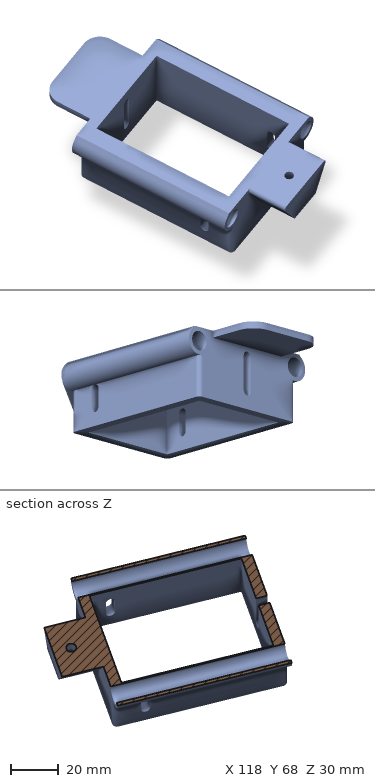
import cadquery as cq
import math

FRAME_LENGTH = 76.0
FRAME_WIDTH = 56.0
FRAME_HEIGHT = 30.0
WALL = 5.0
CORNER_RADIUS = 2.0

TUBE_DIAMETER = 12.0
BORE_DIAMETER = 8.4

TAB_LENGTH = 24.0
TAB_WIDTH = 40.0
TAB_THICKNESS = 3.0
TAB_CORNER_RADIUS = 8.0

LUG_LENGTH = 18.0
LUG_HEIGHT = 15.0
LUG_BOTTOM_WIDTH = 16.0
LUG_FLANK_ANGLE = 30.0
LUG_EDGE_RADIUS = 1.5
LUG_HOLE_DIAMETER = 4.0
LUG_HOLE_FROM_END = 8.0

SLOT_WIDTH = 4.0
SLOT_BOTTOM_Z = -24.0
END_SLOT_TOP_Z = -5.0
SIDE_SLOT_TOP_Z = -TUBE_DIAMETER
SIDE_SLOT_FROM_END = 14.0

HALF_LENGTH = FRAME_LENGTH / 2
HALF_WIDTH = FRAME_WIDTH / 2
TUBE_RADIUS = TUBE_DIAMETER / 2
OPENING_LENGTH = FRAME_LENGTH - 2 * WALL
OPENING_WIDTH = FRAME_WIDTH - 2 * WALL


def block(length, width, z_bottom, z_top):
    """Box centred on X and Y between two heights."""
    plane = cq.Workplane("XY").workplane(offset=z_bottom)
    return plane.rect(length, width).extrude(z_top - z_bottom)


def make_frame():
    """Square-cornered upper band on a round-cornered skirt."""
    band = block(FRAME_LENGTH, FRAME_WIDTH, -TUBE_DIAMETER, 0)
    skirt = block(FRAME_LENGTH, FRAME_WIDTH, -FRAME_HEIGHT, -TUBE_DIAMETER)
    return band.union(skirt.edges("|Z").fillet(CORNER_RADIUS))


def make_tube(side):
    """Half-round rail outside a long wall; 45 degree facet and flat on top."""
    tangent = TUBE_RADIUS * math.sqrt(0.5)
    flat = TUBE_RADIUS * (math.sqrt(2) - 1)
    return (
        cq.Workplane("YZ", origin=(-HALF_LENGTH, side * HALF_WIDTH, -TUBE_RADIUS))
        .moveTo(0, -TUBE_RADIUS)
        .lineTo(0, TUBE_RADIUS)
        .lineTo(side * flat, TUBE_RADIUS)
        .lineTo(side * tangent, tangent)
        .threePointArc((side * TUBE_RADIUS, 0), (0, -TUBE_RADIUS))
        .close()
        .extrude(FRAME_LENGTH)
    )


def make_bore(side):
    """Cutter for the bore along a tube."""
    return (
        cq.Workplane("YZ", origin=(-HALF_LENGTH, side * HALF_WIDTH, -TUBE_RADIUS))
        .circle(BORE_DIAMETER / 2)
        .extrude(FRAME_LENGTH)
    )


def make_tab():
    """Flat plate flush with the frame top, rounded at its free corners."""
    tab = block(TAB_LENGTH, TAB_WIDTH, -TAB_THICKNESS, 0)
    tab = tab.edges("|Z and <X").fillet(TAB_CORNER_RADIUS)
    return tab.translate((-HALF_LENGTH - TAB_LENGTH / 2, 0, 0))


def make_lug():
    """Downward-tapering lug with rounded upper edges and a vertical hole."""
    half_bottom = LUG_BOTTOM_WIDTH / 2
    half_top = half_bottom + LUG_HEIGHT * math.tan(math.radians(LUG_FLANK_ANGLE))
    lug = (
        cq.Workplane("YZ", origin=(HALF_LENGTH, 0, 0))
        .polyline([
            (-half_top, 0),
            (half_top, 0),
            (half_bottom, -LUG_HEIGHT),
            (-half_bottom, -LUG_HEIGHT),
        ])
        .close()
        .extrude(LUG_LENGTH)
    )
    lug = lug.edges("|X and >Z").fillet(LUG_EDGE_RADIUS)
    hole_x = HALF_LENGTH + LUG_LENGTH - LUG_HOLE_FROM_END
    hole = (
        cq.Workplane("XY", origin=(hole_x, 0, -LUG_HEIGHT))
        .circle(LUG_HOLE_DIAMETER / 2)
        .extrude(LUG_HEIGHT)
    )
    return lug.cut(hole)


def slot_cutter(plane, start, top_z, depth):
    """Upright round-ended slot at an (x, y) start, cut along the plane normal."""
    x, y = start
    middle_z = (top_z + SLOT_BOTTOM_Z) / 2
    return (
        cq.Workplane(plane, origin=(x, y, middle_z))
        .slot2D(top_z - SLOT_BOTTOM_Z, SLOT_WIDTH, 90)
        .extrude(depth)
    )


result = make_frame()
for side in (-1, 1):
    result = result.union(make_tube(side))
result = result.union(make_tab()).union(make_lug())

result = result.cut(block(OPENING_LENGTH, OPENING_WIDTH, -FRAME_HEIGHT, 0))
for side in (-1, 1):
    result = result.cut(make_bore(side))

end_slot = slot_cutter("YZ", (-HALF_LENGTH, 0), END_SLOT_TOP_Z, WALL)
side_slot_start = (HALF_LENGTH - SIDE_SLOT_FROM_END, HALF_WIDTH)
side_slots = slot_cutter("XZ", side_slot_start, SIDE_SLOT_TOP_Z, FRAME_WIDTH)
result = result.cut(end_slot).cut(side_slots)